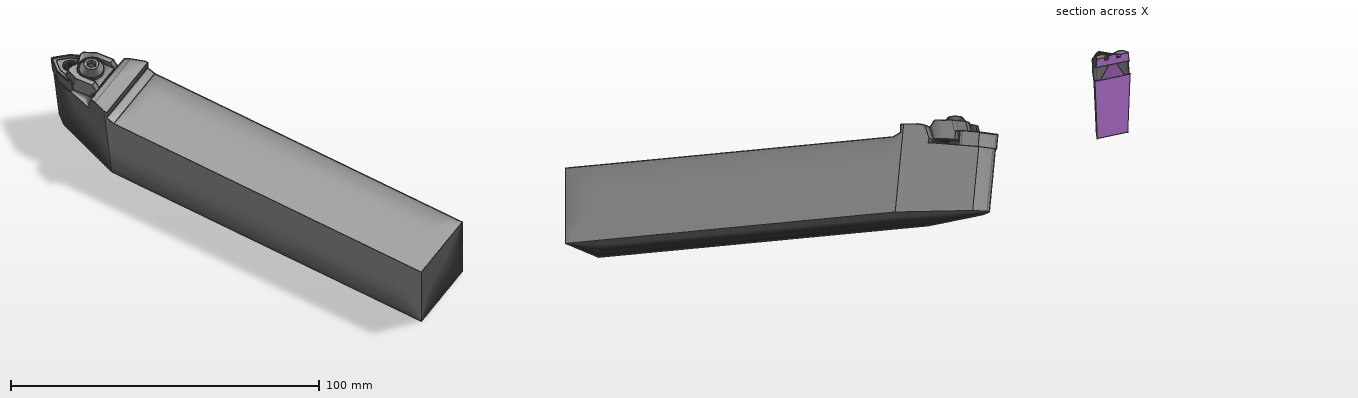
import cadquery as cq
import math

LENGTH = 149.5
WIDTH = 25.0
SHANK_HEIGHT = 25.0
HALF_WIDTH = WIDTH / 2

RIDGE_TOP = 28.9
RIDGE_FRONT = 23.5
RIDGE_BACK = 29.0
RIDGE_STEP = 26.2
RIDGE_FOOT = 31.7

INSERT_INRADIUS = 4.8
INSERT_THICKNESS = 4.8
INSERT_NOSE = 0.81
INSERT_HOLE_RADIUS = 2.0
INSERT_HOLE_CHAMFER = 0.37
TIP_HALF_ANGLE = 40
CHIP_LAND = 0.37
CHIP_GROOVE_WIDTH = 0.97
CHIP_GROOVE_DEPTH = 0.22
SEAT_TILT = 6
SEAT_TIP_Z = 20.5
SEAT_TIP_X = INSERT_THICKNESS * math.sin(math.radians(SEAT_TILT))

HEAD_SHOULDER = 4.5
HEAD_SHOULDER_HALF_WIDTH = 3.9
HEAD_TAPER = 20
HEAD_NOSE = 1.0

WALL_FOOT_X = 20.2
WALL_FOOT_Z = 24.1
WALL_TOP_Z = 28.4
WALL_LEAN = 16
WALL_RELIEF = 0.3
WALL_TOP_X = WALL_FOOT_X + (WALL_TOP_Z - WALL_FOOT_Z) * math.tan(math.radians(WALL_LEAN))

CLAMP_TOP = 8.1
CLAMP_BOTTOM = 2.0
CLAMP_HEEL = 12.1
CLAMP_HALF_WIDTH = 6.5
CLAMP_LEAN = 14
CLAMP_PLAN_Z = 29.9
CLAMP_CHAMFER_X = 19.6
CLAMP_GAP = 0.1
SLOT_RADIUS = 4.6
SLOT_FLOOR_Z = 28.7

SCREW_X = 15.3
SCREW_SHANK_RADIUS = 2.1
SCREW_COLLAR_RADIUS = 2.4
SCREW_COLLAR_TOP_Z = 22.9
SCREW_HEAD_RADIUS = 4.0
SCREW_RIM_Z = 29.9
SCREW_FLAT_RADIUS = 2.4
SCREW_TOP_Z = 32.2
SOCKET_FLATS = 2.8
SOCKET_DEPTH = 1.8

REACH = 59.8


def tilted_plane(x, z, tilt):
    """Plane through (x, 0, z) that rises towards +X by the tilt angle."""
    angle = math.radians(tilt)
    x_dir = (math.cos(angle), 0, math.sin(angle))
    normal = (-math.sin(angle), 0, math.cos(angle))
    return cq.Plane(origin=(x, 0, z), xDir=x_dir, normal=normal)


SEAT = tilted_plane(SEAT_TIP_X, SEAT_TIP_Z, SEAT_TILT)


def seat_point(along, above):
    """(x, z) of a point given along the seat and above it."""
    point = SEAT.toWorldCoords((along, 0, above))
    return (point.x, point.z)


def seat_point_at(x, above):
    """(x, z) of the point at a given x, on the plane that lies above the seat."""
    start_x, start_z = seat_point(0, above)
    return (x, start_z + (x - start_x) * math.tan(math.radians(SEAT_TILT)))


def side_prism(points):
    """Side outline in X and Z, extruded over the full width."""
    return cq.Workplane("XZ").polyline(points).close().extrude(HALF_WIDTH, both=True)


def polar(radius, degrees, center=(0, 0)):
    """Plan point at a radius and an angle about a centre."""
    angle = math.radians(degrees)
    return (center[0] + radius * math.cos(angle), center[1] + radius * math.sin(angle))


def mirrored(point):
    """The same plan point on the other side of the centre line."""
    return (point[0], -point[1])



def nose_center_radius(inradius, nose):
    """Distance from the insert centre to the centre of a rounded corner."""
    return (inradius - nose) / math.sin(math.radians(TIP_HALF_ANGLE))


INSERT_CENTER = nose_center_radius(INSERT_INRADIUS, INSERT_NOSE) + INSERT_NOSE


def trigon(inradius, nose, bottom, height):
    """Trigon prism on the seat: three rounded corners and three blunt vertices between them."""
    half_arc = 90 - TIP_HALF_ANGLE
    blunt_radius = inradius / math.cos(math.radians(60 - half_arc))
    outline = cq.Workplane(SEAT).workplane(offset=bottom).center(INSERT_CENTER, 0)
    outline = outline.moveTo(*polar(blunt_radius, 0))
    for corner in (60, 180, 300):
        center = polar(nose_center_radius(inradius, nose), corner)
        outline = (
            outline.lineTo(*polar(nose, corner - half_arc, center))
            .threePointArc(polar(nose, corner, center), polar(nose, corner + half_arc, center))
            .lineTo(*polar(blunt_radius, corner + 60))
        )
    return outline.close().extrude(height)


def make_insert():
    """Insert with a chip groove round the rim of its top face and a central hole."""
    body = trigon(INSERT_INRADIUS, INSERT_NOSE, 0, INSERT_THICKNESS)
    groove_bottom = INSERT_THICKNESS - CHIP_GROOVE_DEPTH
    groove_outer = INSERT_INRADIUS - CHIP_LAND
    groove_inner = groove_outer - CHIP_GROOVE_WIDTH
    groove = trigon(groove_outer, INSERT_NOSE, groove_bottom, CHIP_GROOVE_DEPTH)
    groove = groove.cut(trigon(groove_inner, INSERT_NOSE, groove_bottom, CHIP_GROOVE_DEPTH))
    return body.cut(groove).cut(make_insert_hole())


def make_insert_hole():
    """Hole through the insert, chamfered at the top."""
    bottom = cq.Workplane(SEAT).center(INSERT_CENTER, 0)
    hole = bottom.circle(INSERT_HOLE_RADIUS).extrude(INSERT_THICKNESS)
    chamfer = (
        bottom.workplane(offset=INSERT_THICKNESS - INSERT_HOLE_CHAMFER)
        .circle(INSERT_HOLE_RADIUS)
        .workplane(offset=INSERT_HOLE_CHAMFER)
        .circle(INSERT_HOLE_RADIUS + INSERT_HOLE_CHAMFER)
        .loft()
    )
    return hole.union(chamfer)



def make_bar():
    """Shank, ridge and pocket as one side outline, tapered to the tip in plan."""
    bar = side_prism([
        (0, 0),
        (LENGTH, 0),
        (LENGTH, SHANK_HEIGHT),
        (RIDGE_FOOT, SHANK_HEIGHT),
        (RIDGE_BACK, RIDGE_STEP),
        (RIDGE_BACK, RIDGE_TOP),
        (RIDGE_FRONT, RIDGE_TOP),
        (WALL_TOP_X, WALL_TOP_Z),
        (WALL_FOOT_X, WALL_FOOT_Z),
        seat_point_at(WALL_FOOT_X + WALL_RELIEF, 0),
        seat_point_at(0, 0),
    ])
    return bar.intersect(make_head_plan())


def make_head_plan():
    """Plan outline of the bar: rounded tip, wedge, taper and parallel shank."""
    angle = math.radians(TIP_HALF_ANGLE)
    sharp_tip = HEAD_SHOULDER - HEAD_SHOULDER_HALF_WIDTH / math.tan(angle)
    nose_center = (sharp_tip + HEAD_NOSE / math.sin(angle), 0)
    nose_start = polar(HEAD_NOSE, 90 + TIP_HALF_ANGLE, nose_center)
    nose_end = polar(HEAD_NOSE, 270 - TIP_HALF_ANGLE, nose_center)
    taper_rise = HALF_WIDTH - HEAD_SHOULDER_HALF_WIDTH
    neck = HEAD_SHOULDER + taper_rise / math.tan(math.radians(HEAD_TAPER))
    back = LENGTH + REACH
    return (
        cq.Workplane(SEAT)
        .moveTo(back, HALF_WIDTH)
        .lineTo(neck, HALF_WIDTH)
        .lineTo(HEAD_SHOULDER, HEAD_SHOULDER_HALF_WIDTH)
        .lineTo(*nose_start)
        .threePointArc(polar(HEAD_NOSE, 180, nose_center), nose_end)
        .lineTo(HEAD_SHOULDER, -HEAD_SHOULDER_HALF_WIDTH)
        .lineTo(neck, -HALF_WIDTH)
        .lineTo(back, -HALF_WIDTH)
        .close()
        .extrude(REACH, both=True)
    )


def make_clamp():
    """Clamp from the insert top back to a narrow gap in front of the pocket wall."""
    side = side_prism([
        seat_point(0, INSERT_THICKNESS),
        seat_point(CLAMP_HEEL, INSERT_THICKNESS),
        seat_point(CLAMP_HEEL, CLAMP_BOTTOM),
        seat_point_at(WALL_FOOT_X - CLAMP_GAP, CLAMP_BOTTOM),
        (WALL_TOP_X - CLAMP_GAP, WALL_TOP_Z),
        seat_point_at(CLAMP_CHAMFER_X, CLAMP_TOP),
        seat_point(0, CLAMP_TOP),
    ])
    clamp = side.intersect(make_clamp_plan())
    slot_base = cq.Workplane("XY", origin=(SCREW_X, 0, SLOT_FLOOR_Z))
    slot_end = slot_base.circle(SLOT_RADIUS).extrude(REACH)
    slot = slot_base.box(REACH, 2 * SLOT_RADIUS, REACH, centered=(False, True, False)).union(slot_end)
    return clamp.cut(slot)


def make_clamp_plan():
    """Leaning plan outline of the clamp: two lobes with a hollow between them at the front."""
    side_start = (-1.8, CLAMP_HALF_WIDTH)
    side_bend = (-2.2, 6.3)
    flank_start = (-2.7, 6.0)
    shoulder = (-5.7, 4.6)
    lobe_front = (-6.0, 3.6)
    hollow_edge = (-5.8, 2.4)
    hollow_center = (-5.0, 0)
    plane = tilted_plane(SCREW_X, CLAMP_PLAN_Z, -CLAMP_LEAN)
    return (
        cq.Workplane(plane)
        .moveTo(REACH, CLAMP_HALF_WIDTH)
        .lineTo(*side_start)
        .threePointArc(side_bend, flank_start)
        .lineTo(*shoulder)
        .threePointArc(lobe_front, hollow_edge)
        .threePointArc(hollow_center, mirrored(hollow_edge))
        .threePointArc(mirrored(lobe_front), mirrored(shoulder))
        .lineTo(*mirrored(flank_start))
        .threePointArc(mirrored(side_bend), mirrored(side_start))
        .lineTo(REACH, -CLAMP_HALF_WIDTH)
        .close()
        .extrude(REACH, both=True)
    )


def make_screw():
    """Cone-headed screw with a collar and a hexagon socket, reaching down into the bar."""
    screw = (
        cq.Workplane("XZ", origin=(SCREW_X, 0, 0))
        .moveTo(0, SEAT_TIP_Z)
        .lineTo(SCREW_COLLAR_RADIUS, SEAT_TIP_Z)
        .lineTo(SCREW_COLLAR_RADIUS, SCREW_COLLAR_TOP_Z)
        .lineTo(SCREW_SHANK_RADIUS, SCREW_COLLAR_TOP_Z)
        .lineTo(SCREW_SHANK_RADIUS, SLOT_FLOOR_Z)
        .lineTo(SCREW_HEAD_RADIUS, SLOT_FLOOR_Z)
        .lineTo(SCREW_HEAD_RADIUS, SCREW_RIM_Z)
        .lineTo(SCREW_FLAT_RADIUS, SCREW_TOP_Z)
        .lineTo(0, SCREW_TOP_Z)
        .close()
        .revolve(360, (0, 0, 0), (0, 1, 0))
    )
    socket = (
        cq.Workplane("XY", origin=(SCREW_X, 0, SCREW_TOP_Z - SOCKET_DEPTH))
        .transformed(rotate=(0, 0, 90))
        .polygon(6, SOCKET_FLATS, circumscribed=True)
        .extrude(SOCKET_DEPTH)
    )
    return screw.cut(socket)


insert = make_insert()
holder = make_bar().union(make_clamp()).union(make_screw())
result = cq.Compound.makeCompound([holder.val(), insert.val()])